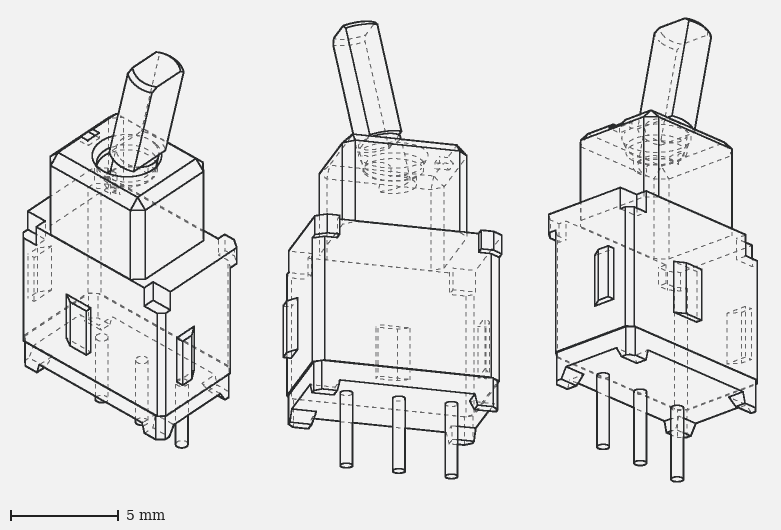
import cadquery as cq
import math


overall_height = 22.45
foot_z = 3.1
base_floor_z = 3.64
body_bottom_z = 4.54
body_top_z = 11.68
bushing_top_z = 16.24

front_y = -2.5
back_y = 2.5

base_width = 8.9
base_corner = 0.31
foot_gap_x = (6.78, 6.51)
foot_gap_y = (3.82, 3.2)

body_width = 9.03
body_front_y = -2.52
body_back_y = 2.55
front_corner = 0.3
back_corner_x = 0.5
back_corner_y = 0.35
lug_width = 1.1
lug_back_y = 3.0
lug_bottom_z = 10.74
notch_depth = 0.6
notch_bottom_z = 10.6

tab_bottom_z = 6.13
tab_height = 2.58
tab_root = 0.22
side_tab_x = 4.9
side_tab_back_y = -0.3
side_tab_bevel_y = -0.85
side_tab_front_y = -1.48
front_tab_y = -2.83
front_tab_left_x = -1.5
front_tab_bevel_x = -0.99
front_tab_right_x = 0.05

bushing_width = 6.02
bushing_chamfer = 0.5
marker_x = (-2.83, -2.11)
marker_width = 0.79
marker_depth = 0.3
mouth_radius = 1.62
seat_radius = 1.41
throat_radius = 1.08
mouth_depth = 0.45
seat_height = 0.3

tilt = 12.5
pivot_z = 13.84
ball_radius = 1.41
collar_radius = 1.0
collar_top = 3.08
handle_radius = 1.35
handle_thickness = 1.57
tip_chamfer = 0.22

pin_pitch = 2.54
pin_diameter = 0.58
pin_y = 1.0


def block(x_range, y_range, z_range):
    """Axis-aligned box given by its limits."""
    size = [high - low for low, high in (x_range, y_range, z_range)]
    corner = (x_range[0], y_range[0], z_range[0])
    return cq.Workplane("XY").box(*size, centered=False).translate(corner)


def prism(points, bottom_z, height):
    """Vertical extrusion of a closed plan outline."""
    return cq.Workplane("XY").workplane(offset=bottom_z).polyline(points).close().extrude(height)


def mirrored_pair(solid):
    """The solid and its mirror image across X = 0."""
    return solid.union(solid.mirror("YZ"))


def foot_gap(plane, widths, length):
    """Trapezoidal channel that separates the feet along one direction."""
    tip_half = widths[0] / 2
    floor_half = widths[1] / 2
    outline = [
        (-tip_half, foot_z),
        (tip_half, foot_z),
        (floor_half, base_floor_z),
        (-floor_half, base_floor_z),
    ]
    return cq.Workplane(plane).polyline(outline).close().extrude(length, both=True)


def make_base():
    half = base_width / 2
    base = block((-half, half), (front_y, back_y), (foot_z, body_bottom_z))
    base = base.edges("|Z").chamfer(base_corner)
    base = base.cut(foot_gap("XZ", foot_gap_x, base_width))
    return base.cut(foot_gap("YZ", foot_gap_y, base_width))


def body_outline(rear_y):
    """Plan outline with small front corners and shallow back corners."""
    half = body_width / 2
    right_side = [
        (half - front_corner, body_front_y),
        (half, body_front_y + front_corner),
        (half, rear_y - back_corner_y),
        (half - back_corner_x, rear_y),
    ]
    return right_side + [(-x, y) for x, y in reversed(right_side)]


def make_body():
    half = body_width / 2
    lug_inner_x = half - lug_width
    body = prism(body_outline(body_back_y), body_bottom_z, body_top_z - body_bottom_z)

    lug = prism(body_outline(lug_back_y), lug_bottom_z, body_top_z - lug_bottom_z)
    lug = lug.intersect(block((lug_inner_x, half), (body_front_y, lug_back_y), (lug_bottom_z, body_top_z)))
    body = body.union(mirrored_pair(lug))

    notch_back_y = body_front_y + notch_depth
    notch = block((lug_inner_x, half), (body_front_y, notch_back_y), (notch_bottom_z, body_top_z))
    return body.cut(mirrored_pair(notch))


def make_tabs():
    """Bevelled snap tabs on both sides and on the front; each starts inside the body."""
    side_wall = body_width / 2
    side_root = side_wall - tab_root
    side = [
        (side_root, side_tab_back_y),
        (side_wall, side_tab_back_y),
        (side_tab_x, side_tab_bevel_y),
        (side_tab_x, side_tab_front_y),
        (side_root, side_tab_front_y),
    ]
    front_root = body_front_y + tab_root
    front = [
        (front_tab_left_x, front_root),
        (front_tab_left_x, body_front_y),
        (front_tab_bevel_x, front_tab_y),
        (front_tab_right_x, front_tab_y),
        (front_tab_right_x, front_root),
    ]
    side_tabs = mirrored_pair(prism(side, tab_bottom_z, tab_height))
    return side_tabs.union(prism(front, tab_bottom_z, tab_height))


def make_bushing():
    half = bushing_width / 2
    bushing = block((-half, half), (front_y, back_y), (body_top_z, bushing_top_z))
    bushing = bushing.edges("|Z or >Z").chamfer(bushing_chamfer)

    marker_bottom_z = bushing_top_z - marker_depth
    marker = block(marker_x, (-marker_width / 2, marker_width / 2), (marker_bottom_z, bushing_top_z))
    bushing = bushing.cut(marker)

    seat_z = bushing_top_z - mouth_depth
    shelf_z = seat_z - seat_height
    shelf_round = seat_radius - throat_radius
    arc_offset = shelf_round * math.sin(math.radians(45))
    arc_mid = (seat_radius - arc_offset, shelf_z - shelf_round + arc_offset)
    mouth = (
        cq.Workplane("XZ")
        .moveTo(0, bushing_top_z)
        .lineTo(mouth_radius, bushing_top_z)
        .lineTo(seat_radius, seat_z)
        .lineTo(seat_radius, shelf_z)
        .threePointArc(arc_mid, (throat_radius, shelf_z - shelf_round))
        .lineTo(throat_radius, pivot_z)
        .lineTo(0, pivot_z)
        .close()
        .revolve(360, (0, 0, 0), (0, 1, 0))
    )
    return bushing.cut(mouth)


def make_lever():
    """Ball, round collar and flattened handle, built upright on the pivot and then tilted."""
    ball = cq.Workplane("XY").sphere(ball_radius)
    collar = cq.Workplane("XY").circle(collar_radius).extrude(collar_top)
    tilt_angle = math.radians(tilt)
    tip_rise = handle_thickness / 2 * math.sin(tilt_angle)
    tip = (overall_height - pivot_z - tip_rise) / math.cos(tilt_angle)
    handle_length = tip - collar_top
    handle = cq.Workplane("XY").circle(handle_radius).extrude(handle_length).faces(">Z").chamfer(tip_chamfer)
    flats = cq.Workplane("XY").rect(handle_thickness, 2 * handle_radius).extrude(handle_length)
    handle = handle.intersect(flats).translate((0, 0, collar_top))
    lever = ball.union(collar).union(handle)
    return lever.rotate((0, 0, 0), (0, 1, 0), tilt).translate((0, 0, pivot_z))


def make_pins():
    places = [(i * pin_pitch, pin_y) for i in (-1, 0, 1)]
    return cq.Workplane("XY").pushPoints(places).circle(pin_diameter / 2).extrude(body_bottom_z)


result = make_base()
for section in (make_body(), make_tabs(), make_bushing(), make_lever(), make_pins()):
    result = result.union(section)